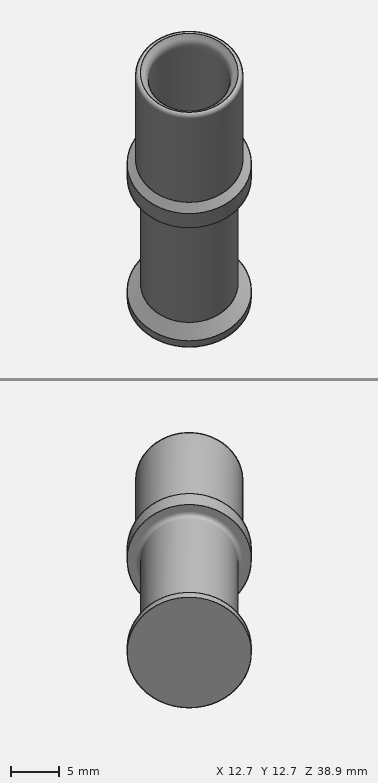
import cadquery as cq
import math

total_height = 38.93
flange_radius = 6.35
barrel_radius = 5.5
shank_radius = 5.0
bore_radius = 4.15

foot_rim_height = 1.1
foot_cone_top = 2.4
collar_bottom = 20.75
collar_rim_top = 23.2
collar_cone_top = 24.0
neck_fillet = 0.5

rim_rounding = 0.5
mouth_radius = 4.65
mouth_chamfer = barrel_radius - rim_rounding - mouth_radius
mouth_depth = 1.32
bore_floor = 24.05
drill_point_angle = 118.0

drill_point_depth = bore_radius / math.tan(math.radians(drill_point_angle / 2))
arc_middle = 1 - math.sqrt(0.5)

mouth_bottom = total_height - mouth_depth
mouth_arc_rise = mouth_depth - mouth_chamfer
mouth_arc_run = mouth_radius - bore_radius
mouth_arc_radius = (mouth_arc_rise**2 + mouth_arc_run**2) / (2 * mouth_arc_run)
mouth_half_sweep = math.atan2(mouth_arc_run, mouth_arc_rise)
mouth_arc_middle = (
    bore_radius + mouth_arc_radius * (1 - math.cos(mouth_half_sweep)),
    mouth_bottom + mouth_arc_radius * math.sin(mouth_half_sweep),
)


def build_profile():
    """Half section in the XZ plane, from the foot up and back down the bore."""
    return (
        cq.Workplane("XZ")
        .lineTo(flange_radius, 0)
        .lineTo(flange_radius, foot_rim_height)
        .lineTo(shank_radius, foot_cone_top)
        .lineTo(shank_radius, collar_bottom - neck_fillet)
        .threePointArc(
            (shank_radius + arc_middle * neck_fillet, collar_bottom - arc_middle * neck_fillet),
            (shank_radius + neck_fillet, collar_bottom),
        )
        .lineTo(flange_radius, collar_bottom)
        .lineTo(flange_radius, collar_rim_top)
        .lineTo(barrel_radius, collar_cone_top)
        .lineTo(barrel_radius, total_height - rim_rounding)
        .threePointArc(
            (barrel_radius - arc_middle * rim_rounding, total_height - arc_middle * rim_rounding),
            (barrel_radius - rim_rounding, total_height),
        )
        .lineTo(mouth_radius, total_height - mouth_chamfer)
        .threePointArc(mouth_arc_middle, (bore_radius, mouth_bottom))
        .lineTo(bore_radius, bore_floor)
        .lineTo(0, bore_floor - drill_point_depth)
        .close()
    )


result = build_profile().revolve(360, (0, 0, 0), (0, 1, 0))